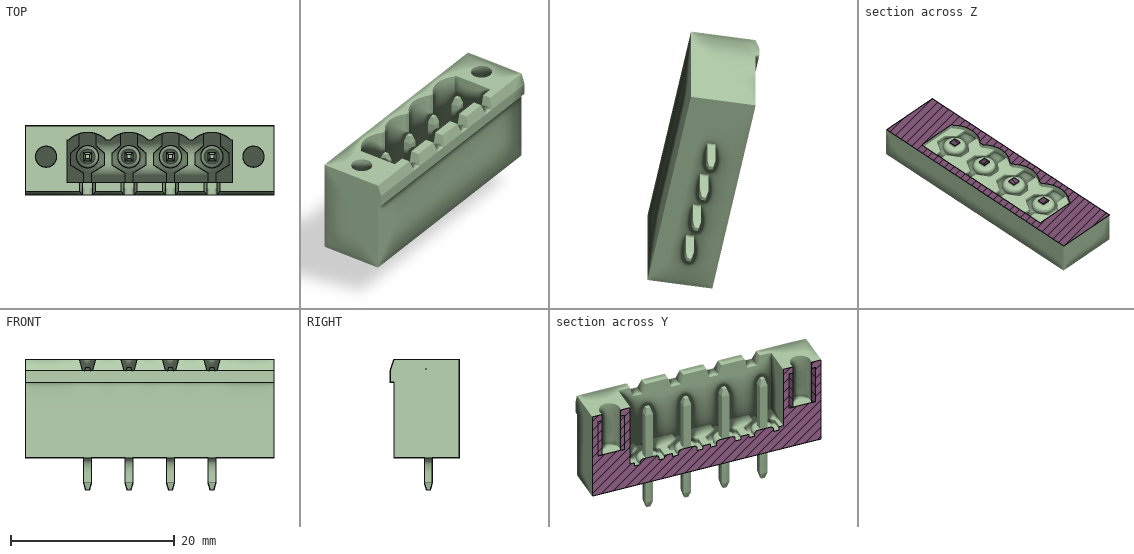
import cadquery as cq


length = 30.48
way_count = 4
pitch = length / (way_count + 2)
height = 12.05
back_y = 3.8
front_y = -4.25
lip_front_y = -4.7
lip_bottom_z = height - 2.8
lip_slope_z = height - 1.37

cavity_width = way_count * pitch
cavity_front_y = -3.17
cavity_back_y = 2.07
scallop_back_y = 3.0
scallop_land = 0.52
cavity_depth = 8.53
floor_z = height - cavity_depth

recess_depth = 0.5
recess_floor_z = floor_z - recess_depth
recess_back_half = 1.05
recess_wide_half = 2.07
recess_front_half = 0.5
recess_back_neck_y = 1.35
recess_wide_back_y = 0.43
recess_wide_front_y = -1.05
recess_front_neck_y = -2.0

boss_diameter = 2.75
boss_round = 0.45
boss_height = 0.75

notch_top_width = 1.98
notch_bottom_width = 1.25

pin_width = 1.0
pin_below = 3.95
pin_top_z = height - 1.0
pin_taper = 0.9
pin_tip_width = 0.5

hole_diameter = 2.6
hole_depth = 6.1
sleeve_outer_diameter = 3.6
sleeve_top_z = height - 1.0
sleeve_bottom_z = height - hole_depth
sleeve_length = sleeve_top_z - sleeve_bottom_z

pin_xs = [(i - (way_count - 1) / 2) * pitch for i in range(way_count)]
sleeve_xs = [side * (length - pitch) / 2 for side in (-1, 1)]


def make_block():
    """Housing block with its overhanging, sloped front lip, extruded along X."""
    profile = [
        (back_y, 0),
        (back_y, height),
        (front_y, height),
        (lip_front_y, lip_slope_z),
        (lip_front_y, lip_bottom_z),
        (front_y, lip_bottom_z),
        (front_y, 0),
    ]
    return cq.Workplane("YZ").polyline(profile).close().extrude(length / 2, both=True)


def make_cavity():
    """Open-topped cavity with one scallop per way in its back wall."""
    half_width = cavity_width / 2
    scallop_half = (pitch - scallop_land) / 2
    outline = (
        cq.Workplane("XY", origin=(0, 0, floor_z))
        .moveTo(half_width, cavity_front_y)
        .lineTo(-half_width, cavity_front_y)
        .lineTo(-half_width, cavity_back_y)
    )
    for x in pin_xs:
        outline = outline.lineTo(x - scallop_half, cavity_back_y).threePointArc(
            (x, scallop_back_y), (x + scallop_half, cavity_back_y)
        )
    return outline.lineTo(half_width, cavity_back_y).close().extrude(cavity_depth)


def make_recess(x, cavity):
    """Keyhole-shaped recess in the cavity floor, bounded by the cavity walls."""
    right_side = [
        (recess_back_half, scallop_back_y),
        (recess_back_half, recess_back_neck_y),
        (recess_wide_half, recess_wide_back_y),
        (recess_wide_half, recess_wide_front_y),
        (recess_front_half, recess_front_neck_y),
        (recess_front_half, cavity_front_y),
    ]
    left_side = [(-px, py) for px, py in reversed(right_side)]
    keyhole = (
        cq.Workplane("XY", origin=(x, 0, floor_z))
        .polyline(right_side + left_side)
        .close()
        .extrude(recess_depth)
    )
    return keyhole.intersect(cavity).translate((0, 0, -recess_depth))


def make_boss(x):
    """Round boss with a rounded rim, standing on the recess floor."""
    return (
        cq.Workplane("XY", origin=(x, 0, recess_floor_z))
        .circle(boss_diameter / 2)
        .extrude(boss_height)
        .faces(">Z")
        .edges()
        .fillet(boss_round)
    )


def make_notch(x):
    """Trapezoidal notch through the front wall, level with the foot of the lip slope."""
    profile = [
        (x - notch_top_width / 2, height),
        (x + notch_top_width / 2, height),
        (x + notch_bottom_width / 2, lip_slope_z),
        (x - notch_bottom_width / 2, lip_slope_z),
    ]
    return (
        cq.Workplane("XZ", origin=(0, cavity_front_y, 0))
        .polyline(profile)
        .close()
        .extrude(cavity_front_y - lip_front_y)
    )


def make_pin(x):
    """Square contact pin, tapered at both ends."""
    shank_bottom_z = pin_taper - pin_below
    shank_top_z = pin_top_z - pin_taper
    shank = (
        cq.Workplane("XY", origin=(x, 0, shank_bottom_z))
        .rect(pin_width, pin_width)
        .extrude(shank_top_z - shank_bottom_z)
    )
    for face in (">Z", "<Z"):
        tip = (
            shank.faces(face)
            .workplane(origin=(x, 0, 0))
            .rect(pin_width, pin_width)
            .workplane(offset=pin_taper)
            .rect(pin_tip_width, pin_tip_width)
            .loft(combine=False)
        )
        shank = shank.union(tip)
    return shank


def make_sleeve_blank(x):
    """Solid cylinder that a sleeve fills, bore included."""
    return (
        cq.Workplane("XY", origin=(x, 0, sleeve_bottom_z))
        .circle(sleeve_outer_diameter / 2)
        .extrude(sleeve_length)
    )


def make_screw_hole(x):
    """Blind screw hole from the housing top, running through the sleeve."""
    return (
        cq.Workplane("XY", origin=(x, 0, sleeve_bottom_z))
        .circle(hole_diameter / 2)
        .extrude(hole_depth)
    )


def make_sleeve(x):
    """Insert sleeve buried in the housing, its bore in line with the screw hole."""
    return make_sleeve_blank(x).cut(make_screw_hole(x))


def make_housing(pins):
    """Moulded housing with a matching hole for every pin and sleeve."""
    cavity = make_cavity()
    body = make_block().cut(cavity)
    for x in pin_xs:
        body = body.cut(make_recess(x, cavity))
        body = body.union(make_boss(x))
        body = body.cut(make_notch(x))
    for pin in pins:
        body = body.cut(pin)
    for x in sleeve_xs:
        body = body.cut(make_sleeve_blank(x))
        body = body.cut(make_screw_hole(x))
    return body


pins = [make_pin(x) for x in pin_xs]
sleeves = [make_sleeve(x) for x in sleeve_xs]
housing = make_housing(pins)

result = cq.Compound.makeCompound(
    [housing.val()] + [pin.val() for pin in pins] + [sleeve.val() for sleeve in sleeves]
)